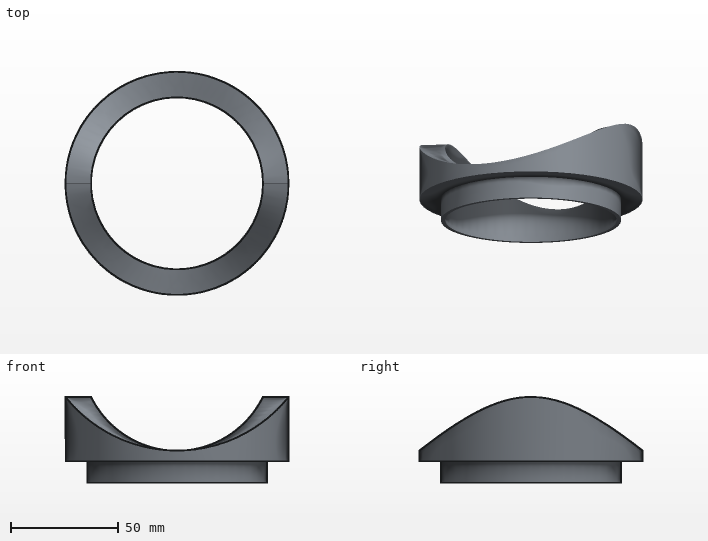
import cadquery as cq
import math

outer_diameter = 104.0
bore_diameter = 80.0
spigot_diameter = 84.0
spigot_height = 10.0

saddle_low_height = 15.0
saddle_rise = 25.1
total_height = saddle_low_height + saddle_rise

cutter_radial_margin = 2.0
cutter_height = 2.0 * total_height

curve_intervals = 80

outer_radius = outer_diameter / 2.0
bore_radius = bore_diameter / 2.0


def arc_height(wall_radius, x):
    """Height at x of a circular arc that climbs the saddle rise over the wall radius."""
    arc_radius = (wall_radius**2 + saddle_rise**2) / (2.0 * saddle_rise)
    return saddle_low_height + arc_radius - math.sqrt(arc_radius**2 - x**2)


def saddle_point(radius, angle):
    """Point of the saddle on the straight line joining the bore rim to the outer rim."""
    bore_rim_height = arc_height(bore_radius, bore_radius * math.cos(angle))
    outer_rim_height = arc_height(outer_radius, outer_radius * math.cos(angle))
    fraction = (radius - bore_radius) / (outer_radius - bore_radius)
    height = bore_rim_height + fraction * (outer_rim_height - bore_rim_height)
    return (radius * math.cos(angle), radius * math.sin(angle), height)


def saddle_curve(radius, start_angle):
    """Half turn of the saddle surface at a constant radius."""
    half_turn = cq.Workplane("XY").parametricCurve(
        lambda t: saddle_point(radius, start_angle + math.pi * t), N=curve_intervals
    )
    return half_turn.edges().val()


def saddle_cutter(start_angle):
    """Everything above one half of the ruled saddle surface."""
    surface = cq.Face.makeRuledSurface(
        saddle_curve(bore_radius - cutter_radial_margin, start_angle),
        saddle_curve(outer_radius + cutter_radial_margin, start_angle),
    )
    return cq.Solid.extrudeLinear(surface, cq.Vector(0, 0, cutter_height))


def make_spigot():
    return cq.Workplane("XY").circle(spigot_diameter / 2.0).extrude(spigot_height)


def make_collar():
    collar = cq.Workplane("XY").workplane(offset=spigot_height).circle(outer_radius)
    return collar.extrude(total_height - spigot_height)


def make_bore():
    return cq.Workplane("XY").circle(bore_radius).extrude(total_height)


ring = make_collar().union(make_spigot()).cut(make_bore())
for half_start_angle in (0.0, math.pi):
    ring = ring.cut(cq.Workplane(saddle_cutter(half_start_angle)))

result = ring.solids()